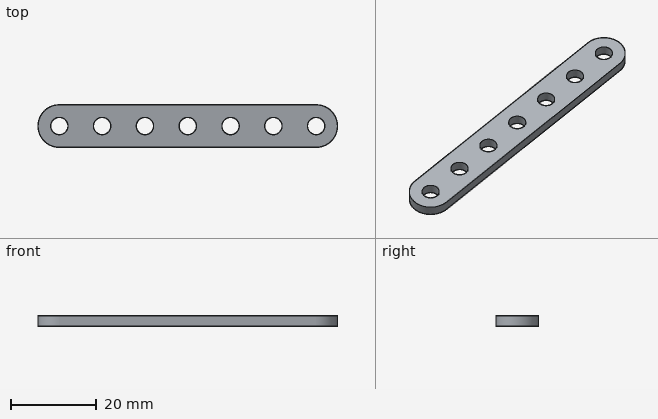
import cadquery as cq

length = 70.0
hole_count = 7
thickness = 2.5
hole_diameter = 4.0

hole_pitch = length / hole_count
width = hole_pitch

strip = cq.Workplane("XY").slot2D(length, width).extrude(thickness)

result = (
    strip.faces(">Z")
    .workplane(origin=(0, 0, thickness))
    .rarray(hole_pitch, width, hole_count, 1)
    .hole(hole_diameter)
)